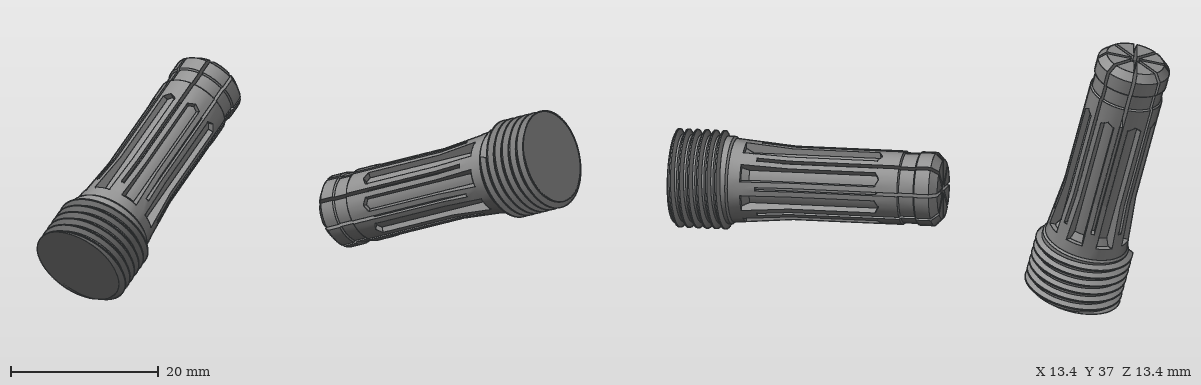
import cadquery as cq
import math

length = 37.0

barrel_radius = 5.0
nose_chamfer = 1.0
groove_start = length - 3.0
groove_end = length - 5.35
groove_depth = 0.22
groove_wall_run = 0.2

flare_start = 16.43
flare_end = 8.3
flare_radius = 5.7
collar_top = 8.0
root_radius = 5.95

crest_radius = 13.35 / 2
pitch = 1.25
thread_turns = 7
thread_end = 7.47
thread_base_width = 0.95
thread_crest_width = 0.2
thread_overlap = 0.1

slot_count = 8
slot_width = 0.48
slot_end = 12.0
rib_width = 1.92
flute_end = 9.95
flute_tip = 29.0
flute_tip_angle = 30.0
core_radius = 4.2
slot_core_top = 28.5
core_ramp_length = 1.0
core_ramp_angle = 30.0

slot_pitch = 360.0 / slot_count
reach = 2 * barrel_radius


def revolved(outline):
    """Revolve an outline of (radius, height) points about the Y axis."""
    return cq.Workplane("XY").polyline(outline).close().revolve(360, (0, 0, 0), (0, 1, 0))


def make_body():
    """Turned blank: root cylinder, flared skirt, grooved barrel and chamfered nose."""
    groove_radius = barrel_radius - groove_depth
    return revolved([
        (0, 0),
        (root_radius, 0),
        (root_radius, collar_top),
        (flare_radius, flare_end),
        (barrel_radius, flare_start),
        (barrel_radius, groove_end),
        (groove_radius, groove_end + groove_wall_run),
        (groove_radius, groove_start - groove_wall_run),
        (barrel_radius, groove_start),
        (barrel_radius, length - nose_chamfer),
        (barrel_radius - nose_chamfer, length),
        (0, length),
    ])


def make_thread():
    """Right-handed ridge that runs out through the base face and stops on the -X side."""
    height = pitch * thread_turns
    inner_radius = root_radius - thread_overlap
    flank_run = (thread_base_width - thread_crest_width) / 2
    flank_slope = flank_run / (crest_radius - root_radius)
    half_crest = thread_crest_width / 2
    half_inner = thread_base_width / 2 + thread_overlap * flank_slope
    helix = cq.Wire.makeHelix(pitch, height, root_radius)
    ridge = (
        cq.Workplane("XZ")
        .polyline([
            (inner_radius, -half_inner),
            (crest_radius, -half_crest),
            (crest_radius, half_crest),
            (inner_radius, half_inner),
        ])
        .close()
        .sweep(cq.Workplane(obj=helix), isFrenet=True)
        .rotate((0, 0, 0), (0, 0, 1), 180)
        .rotate((0, 0, 0), (1, 0, 0), -90)
        .translate((0, thread_end - height, 0))
    )
    above_base = cq.Workplane("XY").box(2 * reach, length, 2 * reach).translate((0, length / 2, 0))
    return ridge.intersect(above_base)


def make_core(top):
    """Solid centre that forms the floor of the slots or flutes, flaring at its lower end."""
    ramp_radius = core_radius + core_ramp_length * math.tan(math.radians(core_ramp_angle))
    return revolved([
        (0, flute_end),
        (ramp_radius, flute_end),
        (core_radius, flute_end + core_ramp_length),
        (core_radius, top),
        (0, top),
    ])


def make_slot():
    """Narrow radial slot on the +Z side, open at the nose."""
    slot_length = length - slot_end
    middle = (length + slot_end) / 2
    return cq.Workplane("XY").center(0, middle).rect(slot_width, slot_length).extrude(reach)


def make_flute():
    """Recess between two neighbouring ribs, centred on +Z, with a pointed upper end."""
    half_angle = math.radians(slot_pitch / 2)
    apex = rib_width / 2 / math.sin(half_angle)
    half_width = (reach - apex) * math.tan(half_angle)
    shoulder = flute_tip - half_width * math.tan(math.radians(flute_tip_angle))
    gap = (
        cq.Workplane("XZ")
        .polyline([(0, apex), (half_width, reach), (-half_width, reach)])
        .close()
        .extrude(-length)
    )
    pointed_end = (
        cq.Workplane("XY")
        .polyline([
            (-half_width, flute_end),
            (half_width, flute_end),
            (half_width, shoulder),
            (0, flute_tip),
            (-half_width, shoulder),
        ])
        .close()
        .extrude(reach)
    )
    return gap.intersect(pointed_end)


slot = make_slot().cut(make_core(slot_core_top))
flute = make_flute().cut(make_core(length))

result = make_body()
for index in range(slot_count):
    angle = index * slot_pitch
    result = result.cut(slot.rotate((0, 0, 0), (0, 1, 0), angle))
    result = result.cut(flute.rotate((0, 0, 0), (0, 1, 0), angle + slot_pitch / 2))
result = result.union(make_thread())